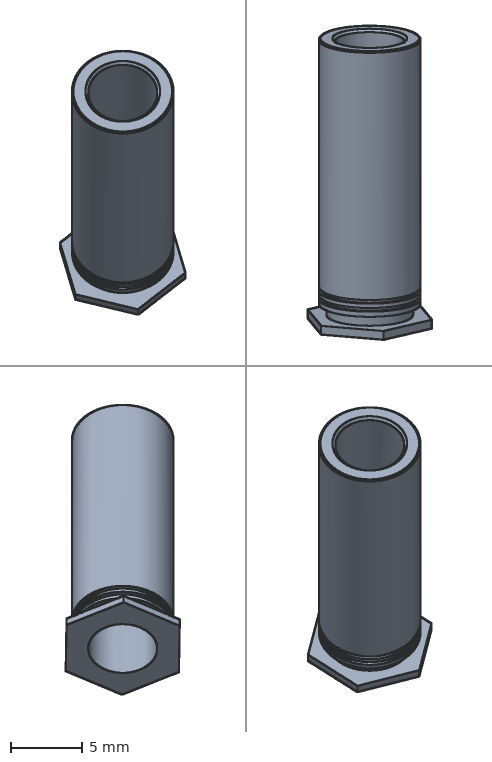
import cadquery as cq
import math

TOTAL_HEIGHT = 20.65
HEX_ACROSS_FLATS = 7.93
HEX_ACROSS_CORNERS = HEX_ACROSS_FLATS / math.cos(math.pi / 6)
FLANGE_THICKNESS = 0.65

BARREL_DIAMETER = 7.12
NECK_DIAMETER = 6.09
NECK_TOP = 1.42
OUTER_CHAMFER = 0.1

GROOVE_DIAMETER = 6.6
GROOVE_WIDTH = 0.27
FIRST_GROOVE_BOTTOM = 1.8
GROOVE_PITCH = 0.58
GROOVE_COUNT = 2

BORE_DIAMETER = 4.83
COUNTERSINK_DIAMETER = 5.22
COUNTERSINK_DEPTH = (COUNTERSINK_DIAMETER - BORE_DIAMETER) / 2


def cylinder(diameter, bottom, height):
    """Upright cylinder on the Z axis."""
    return cq.Workplane("XY").workplane(offset=bottom).circle(diameter / 2).extrude(height)


def make_flange():
    """Hexagonal flange with two corners on the X axis."""
    hexagon = cq.Workplane("XY").polygon(6, HEX_ACROSS_CORNERS)
    return hexagon.extrude(FLANGE_THICKNESS)


def make_barrel():
    """Barrel with a chamfered top rim and grooves near its lower end."""
    barrel = cylinder(BARREL_DIAMETER, NECK_TOP, TOTAL_HEIGHT - NECK_TOP)
    barrel = barrel.faces(">Z").edges().chamfer(OUTER_CHAMFER)
    for index in range(GROOVE_COUNT):
        bottom = FIRST_GROOVE_BOTTOM + index * GROOVE_PITCH
        groove = cylinder(BARREL_DIAMETER, bottom, GROOVE_WIDTH)
        groove = groove.cut(cylinder(GROOVE_DIAMETER, bottom, GROOVE_WIDTH))
        barrel = barrel.cut(groove)
    return barrel


def make_bore():
    """Through bore with a 45 degree countersink at the top."""
    bore = cylinder(BORE_DIAMETER, 0, TOTAL_HEIGHT)
    countersink = cq.Workplane(
        cq.Solid.makeCone(
            BORE_DIAMETER / 2,
            COUNTERSINK_DIAMETER / 2,
            COUNTERSINK_DEPTH,
            pnt=cq.Vector(0, 0, TOTAL_HEIGHT - COUNTERSINK_DEPTH),
        )
    )
    return bore.union(countersink)


neck = cylinder(NECK_DIAMETER, FLANGE_THICKNESS, NECK_TOP - FLANGE_THICKNESS)
result = make_flange().union(neck).union(make_barrel()).cut(make_bore())